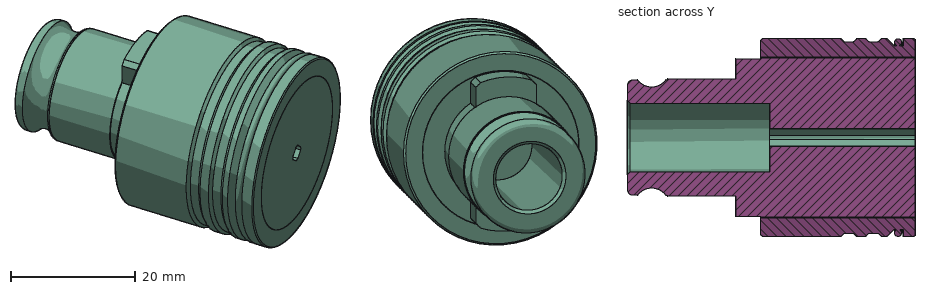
import cadquery as cq
import math


TOTAL_LENGTH = 46.5

RIM_D = 18.7
RIM_END = 1.7
RIM_ROUND = 1.0
GROOVE_BOTTOM_D = 16.4
GROOVE_BOTTOM_X = 4.0
GROOVE_END = 6.25
SHANK_D = 19.0
LAND_D = 18.75
LAND_WIDTH = 0.3
SHANK_END = 17.5
NECK_D = 18.5
BODY_D = 25.8

LUG_D = 25.5
LUG_WIDTH = 10.0
LUG_CORNER_Z = 11.25

BORE_D = 11.0
BORE_DEPTH = 23.0
BORE_CHAMFER = 0.5
TAP_D = 2.8
TAP_SQUARE = 2.4

SLEEVE_D = 32.0
SLEEVE_START = 21.5
SLEEVE_BORE_D = 25.9
SLEEVE_CHAMFER = 0.3
END_CHAMFER = 0.2
GRIP_GROOVE_D = 31.0
GRIP_GROOVE_STARTS = (34.5, 38.5)
GRIP_GROOVE_WIDTH = 2.5
CONE_START = 41.95
RING_GROOVE_D = 29.7
RING_GROOVE_END = 44.5
RING_WIRE_D = 1.2
RING_CENTER_X = 43.7


def revolve_about_x(outline):
    """Turn a closed outline of (x, radius) points into a solid around the X axis."""
    return outline.close().revolve(360, (0, 0, 0), (1, 0, 0))


def make_lugs():
    """A bar across the axis with 45 degree corners, its two ends rounded to the lug diameter."""
    half_width = LUG_WIDTH / 2
    ridge_z = LUG_CORNER_Z + half_width
    length = SLEEVE_START - SHANK_END
    plane = cq.Workplane("YZ", origin=(SHANK_END, 0, 0))
    bar_outline = plane.polyline([
        (half_width, -LUG_CORNER_Z),
        (half_width, LUG_CORNER_Z),
        (0, ridge_z),
        (-half_width, LUG_CORNER_Z),
        (-half_width, -LUG_CORNER_Z),
        (0, -ridge_z),
    ])
    bar = bar_outline.close().extrude(length)
    return bar.intersect(plane.circle(LUG_D / 2).extrude(length))


def make_bore():
    """Blind bore entering from the shank end, with a chamfered mouth."""
    bore_r = BORE_D / 2
    outline = cq.Workplane("XY").polyline([
        (0, 0),
        (0, bore_r + BORE_CHAMFER),
        (BORE_CHAMFER, bore_r),
        (BORE_DEPTH, bore_r),
        (BORE_DEPTH, 0),
    ])
    return revolve_about_x(outline)


def make_tap_hole():
    """Square hole standing on a corner, with its corners rounded to the tap diameter."""
    plane = cq.Workplane("YZ", origin=(BORE_DEPTH, 0, 0))
    length = TOTAL_LENGTH - BORE_DEPTH
    square = plane.transformed(rotate=(0, 0, 45)).rect(TAP_SQUARE, TAP_SQUARE).extrude(length)
    return square.intersect(plane.circle(TAP_D / 2).extrude(length))


def make_core():
    """Turned shank and body with the lugs added, then bored from the shank end."""
    rim_r = RIM_D / 2
    shank_r = SHANK_D / 2
    land_r = LAND_D / 2
    land_end = GROOVE_END + LAND_WIDTH
    round_mid = RIM_ROUND * (1 - math.sqrt(0.5))
    outline = (
        cq.Workplane("XY")
        .lineTo(0, rim_r - RIM_ROUND)
        .threePointArc((round_mid, rim_r - round_mid), (RIM_ROUND, rim_r))
        .lineTo(RIM_END, rim_r)
        .threePointArc((GROOVE_BOTTOM_X, GROOVE_BOTTOM_D / 2), (GROOVE_END, land_r))
        .lineTo(land_end, land_r)
        .lineTo(land_end, shank_r)
        .lineTo(SHANK_END, shank_r)
        .lineTo(SHANK_END, NECK_D / 2)
        .lineTo(SLEEVE_START, NECK_D / 2)
        .lineTo(SLEEVE_START, BODY_D / 2)
        .lineTo(TOTAL_LENGTH, BODY_D / 2)
        .lineTo(TOTAL_LENGTH, 0)
    )
    return revolve_about_x(outline).union(make_lugs()).cut(make_bore()).cut(make_tap_hole())


def make_sleeve():
    """Turned sleeve with two grip grooves and a round ring standing in the last groove."""
    outer_r = SLEEVE_D / 2
    bore_r = SLEEVE_BORE_D / 2
    grip_r = GRIP_GROOVE_D / 2
    flank = outer_r - grip_r
    ring_groove_r = RING_GROOVE_D / 2
    ring_groove_start = CONE_START + outer_r - ring_groove_r
    outline = (
        cq.Workplane("XY")
        .moveTo(SLEEVE_START, bore_r)
        .lineTo(SLEEVE_START, outer_r - SLEEVE_CHAMFER)
        .lineTo(SLEEVE_START + SLEEVE_CHAMFER, outer_r)
    )
    for start in GRIP_GROOVE_STARTS:
        end = start + GRIP_GROOVE_WIDTH
        outline = (
            outline.lineTo(start, outer_r)
            .lineTo(start + flank, grip_r)
            .lineTo(end - flank, grip_r)
            .lineTo(end, outer_r)
        )
    outline = (
        outline.lineTo(CONE_START, outer_r)
        .lineTo(ring_groove_start, ring_groove_r)
        .lineTo(RING_GROOVE_END, ring_groove_r)
        .lineTo(RING_GROOVE_END, outer_r)
        .lineTo(TOTAL_LENGTH - END_CHAMFER, outer_r)
        .lineTo(TOTAL_LENGTH, outer_r - END_CHAMFER)
        .lineTo(TOTAL_LENGTH, bore_r)
    )
    wire_r = RING_WIRE_D / 2
    ring_outline = cq.Workplane("XY").moveTo(RING_CENTER_X, outer_r - wire_r).circle(wire_r)
    ring = ring_outline.revolve(360, (0, 0, 0), (1, 0, 0))
    return revolve_about_x(outline).union(ring)


core = make_core()
sleeve = make_sleeve()
result = cq.Compound.makeCompound([core.solids().val(), sleeve.solids().val()])